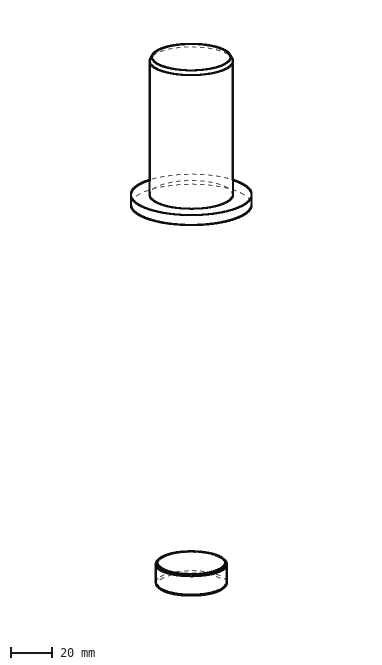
import cadquery as cq

total_height = 268.0

flange_diameter = 58.0
flange_thickness = 5.0
shank_diameter = 40.0
pin_height = 75.0
shank_chamfer_height = 2.0
shank_chamfer_inset = 1.15

disc_diameter = 34.0
disc_thickness = 11.0
disc_chamfer = 0.8

pin_base_z = total_height - pin_height


def make_pin():
    """Flange with a shank on top, the shank's free end chamfered."""
    flange = cq.Workplane("XY").circle(flange_diameter / 2).extrude(flange_thickness)
    pin = flange.faces(">Z").workplane().circle(shank_diameter / 2).extrude(pin_height - flange_thickness)
    pin = pin.faces(">Z").edges().chamfer(shank_chamfer_height, shank_chamfer_inset)
    return pin.translate((0, 0, pin_base_z))


def make_disc():
    """Plain disc with both rims chamfered."""
    disc = cq.Workplane("XY").circle(disc_diameter / 2).extrude(disc_thickness)
    return disc.faces("<Z or >Z").edges().chamfer(disc_chamfer)


pin = make_pin()
disc = make_disc()

result = cq.Compound.makeCompound([pin.val(), disc.val()])